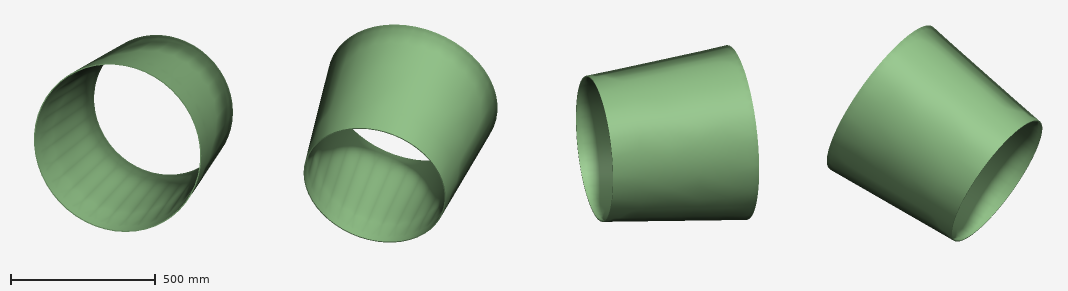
import cadquery as cq

large_diameter = 608.0
small_diameter = 508.0
length = 508.0
wall = 4.0

large_radius = large_diameter / 2
small_radius = small_diameter / 2
y_large_end = -length / 2
y_small_end = length / 2

wall_section = [
    (large_radius - wall, y_large_end),
    (large_radius, y_large_end),
    (small_radius, y_small_end),
    (small_radius - wall, y_small_end),
]
result = cq.Workplane("XY").polyline(wall_section).close().revolve(360, (0, 0, 0), (0, 1, 0))